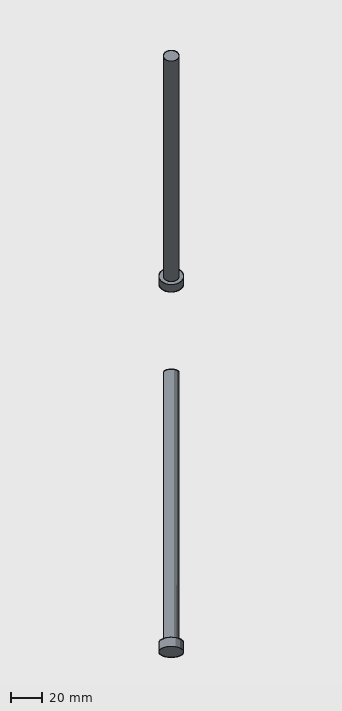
import cadquery as cq

total_length = 200.0
head_diameter = 16.0
head_height = 6.5
shank_diameter = 10.2

head = cq.Workplane("XY").circle(head_diameter / 2).extrude(head_height)
shank = cq.Workplane("XY").circle(shank_diameter / 2).extrude(total_length)

result = head.union(shank)